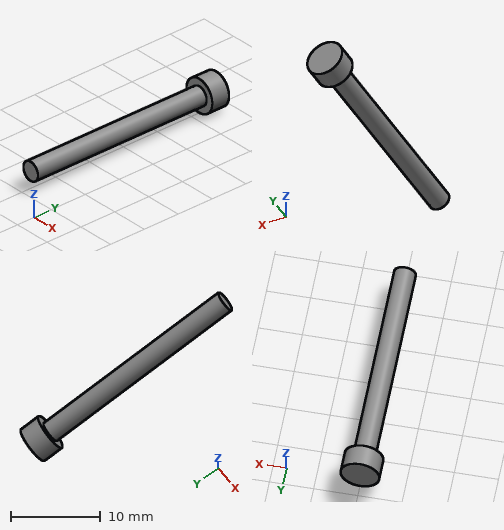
import cadquery as cq

total_length = 27.4
head_diameter = 4.4
head_length = 2.5
shank_diameter = 2.5


def cylinder_along_y(diameter, start_y, end_y):
    """Solid cylinder centred on the Y axis between two Y positions."""
    length = end_y - start_y
    base = cq.Workplane("XZ", origin=(0, start_y, 0))
    return base.circle(diameter / 2).extrude(-length)


shank_end_y = -total_length / 2
head_end_y = total_length / 2
head_seat_y = head_end_y - head_length

shank = cylinder_along_y(shank_diameter, shank_end_y, head_seat_y)
head = cylinder_along_y(head_diameter, head_seat_y, head_end_y)

result = shank.union(head)